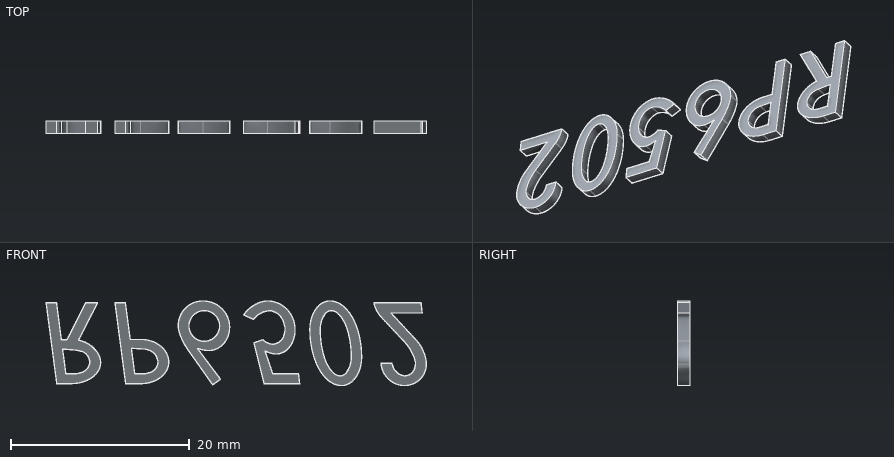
import cadquery as cq

THICKNESS = 1.4
HEIGHT = 9.05
OVERSHOOT = 0.2
STROKE = 1.15
ROUND_STROKE = 1.1
STEM_WIDTH = 1.2
STEM_SHIFT = 1.2
ROUNDNESS = 0.552

ROUND_TOP = HEIGHT + OVERSHOOT
ROUND_BOTTOM = -OVERSHOOT
INNER_TOP = ROUND_TOP - ROUND_STROKE
INNER_BOTTOM = ROUND_BOTTOM + ROUND_STROKE

R_LEFT = 0.0
P_LEFT = 7.7
NINE_LEFT = 14.77
FIVE_LEFT = 22.1
ZERO_LEFT = 29.5
TWO_LEFT = 36.7
TWO_WIDTH = 42.55 - TWO_LEFT


def stem_left(z):
    """X of the slanted left edge of a stem at height z."""
    return STEM_SHIFT * (1 - z / HEIGHT)


def stem_right(z):
    """X of the slanted right edge of a stem at height z."""
    return stem_left(z) + STEM_WIDTH


def outline(start, steps):
    """Closed outline: a step is a point (line) or a pair (tangent corner, end) for a smooth bend."""
    sketch = cq.Workplane("XZ").moveTo(*start)
    here = cq.Vector(*start)
    for step in steps:
        if isinstance(step[0], tuple):
            corner = cq.Vector(*step[0])
            end = cq.Vector(*step[1])
            handle_1 = here + (corner - here) * ROUNDNESS
            handle_2 = end + (corner - end) * ROUNDNESS
            points = [(p.x, p.y) for p in (here, handle_1, handle_2, end)]
            sketch = sketch.bezier(points)
        else:
            end = cq.Vector(*step)
            sketch = sketch.lineTo(*step)
        here = end
    return sketch.close()


def plate(start, steps):
    """Extrude an outline to the full thickness along Y."""
    return outline(start, steps).extrude(-THICKNESS)


def oval(left, top, right, bottom):
    """Slanted oval through its four extreme points, given as (x, z)."""
    steps = [
        ((left[0], top[1]), top),
        ((right[0], top[1]), right),
        ((right[0], bottom[1]), bottom),
        ((left[0], bottom[1]), left),
    ]
    return plate(left, steps)


def bowl_hole(top, top_bend, right, bottom_bend_x):
    """D-shaped opening between the stem and the bowl."""
    steps = [
        top_bend,
        ((right[0], top_bend[1]), right),
        ((right[0], STROKE), (bottom_bend_x, STROKE)),
        (stem_right(STROKE), STROKE),
    ]
    return plate((stem_right(top), top), steps)


def letter_r():
    crotch = 4.95
    bowl_right = (6.15, 2.4)
    steps = [
        (STEM_WIDTH, HEIGHT),
        (stem_right(crotch), crotch),
        (2.35, crotch),
        (4.43, HEIGHT),
        (5.8, HEIGHT),
        (3.65, 4.9),
        ((6.15, 4.4), bowl_right),
        ((bowl_right[0], 0), (2.8, 0)),
        (stem_left(0), 0),
    ]
    hole = bowl_hole(3.87, (3.4, 3.75), (4.9, 2.43), 3.35)
    return plate((0, HEIGHT), steps).cut(hole)


def letter_p():
    bowl_top = 5.0
    bowl_right = (6.05, 2.43)
    steps = [
        (STEM_WIDTH, HEIGHT),
        (stem_right(bowl_top), bowl_top),
        (2.9, bowl_top),
        ((bowl_right[0], bowl_top), bowl_right),
        ((bowl_right[0], 0), (2.9, 0)),
        (stem_left(0), 0),
    ]
    hole = bowl_hole(3.95, (3.25, 3.87), (4.8, 2.43), 3.35)
    return plate((0, HEIGHT), steps).cut(hole)


def digit_nine():
    left = (0, 6.45)
    right = (5.8, 6.35)
    bowl_bottom = (3.45, 3.7)
    hole_center = (2.95, 6.45)
    hole_radius = 1.7
    steps = [
        ((left[0], ROUND_TOP), (2.75, ROUND_TOP)),
        ((right[0], ROUND_TOP), right),
        ((right[0], bowl_bottom[1]), bowl_bottom),
        ((2.75, bowl_bottom[1]), (2.15, 3.95)),
        (4.75, 0.5),
        (3.87, -0.13),
        (1.1, 3.8),
        ((left[0], 5.3), left),
    ]
    hole = cq.Workplane("XZ").center(*hole_center).circle(hole_radius).extrude(-THICKNESS)
    return plate(left, steps).cut(hole)


def digit_five():
    outer_right = (5.8, 6.05)
    inner_right = (4.65, 6.05)
    outer_bottom = (3.65, 3.3)
    inner_bottom = (3.28, 4.43)
    steps = [
        ((1.02, ROUND_TOP), (2.7, ROUND_TOP)),
        ((outer_right[0], ROUND_TOP), outer_right),
        ((outer_right[0], outer_bottom[1]), outer_bottom),
        ((3.02, outer_bottom[1]), (2.43, 3.65)),
        (3.28, STROKE),
        (6.17, STROKE),
        (6.3, 0),
        (2.3, 0),
        (1.15, 4.6),
        (2.15, 4.95),
        ((2.65, inner_bottom[1]), inner_bottom),
        ((inner_right[0], inner_bottom[1]), inner_right),
        ((inner_right[0], INNER_TOP), (2.9, INNER_TOP)),
        ((1.8, INNER_TOP), (1.1, 7.2)),
    ]
    return plate((0, 7.7), steps)


def digit_zero():
    outer = oval((0, 6.1), (2.25, ROUND_TOP), (5.85, 3.0), (3.58, ROUND_BOTTOM))
    inner = oval((1.2, 6.1), (2.4, INNER_TOP), (4.65, 3.0), (3.45, INNER_BOTTOM))
    return outer.cut(inner)


def digit_two():
    hook_end = 2.3
    bar_bottom = HEIGHT - STROKE
    outer_right = (TWO_WIDTH, 2.2)
    inner_right = (4.65, 2.2)
    steps = [
        (5.28, HEIGHT),
        (5.4, bar_bottom),
        (1.9, bar_bottom),
        (4.8, 4.8),
        ((outer_right[0], 3.65), outer_right),
        ((outer_right[0], ROUND_BOTTOM), (3.4, ROUND_BOTTOM)),
        ((0.95, ROUND_BOTTOM), (0.75, hook_end)),
        (2.0, hook_end),
        ((2.2, INNER_BOTTOM), (3.45, INNER_BOTTOM)),
        ((inner_right[0], INNER_BOTTOM), inner_right),
        ((inner_right[0], 3.4), (3.4, 4.7)),
        (0.8, 7.45),
        ((0.05, 8.2), (0, HEIGHT)),
    ]
    return plate((0, HEIGHT), steps)


r_body = letter_r().translate((R_LEFT, 0, 0))
p_body = letter_p().translate((P_LEFT, 0, 0))
nine_body = digit_nine().translate((NINE_LEFT, 0, 0))
five_body = digit_five().translate((FIVE_LEFT, 0, 0))
zero_body = digit_zero().translate((ZERO_LEFT, 0, 0))
two_body = digit_two().translate((TWO_LEFT, 0, 0))

result = cq.Compound.makeCompound([
    r_body.val(),
    p_body.val(),
    nine_body.val(),
    five_body.val(),
    zero_body.val(),
    two_body.val(),
])